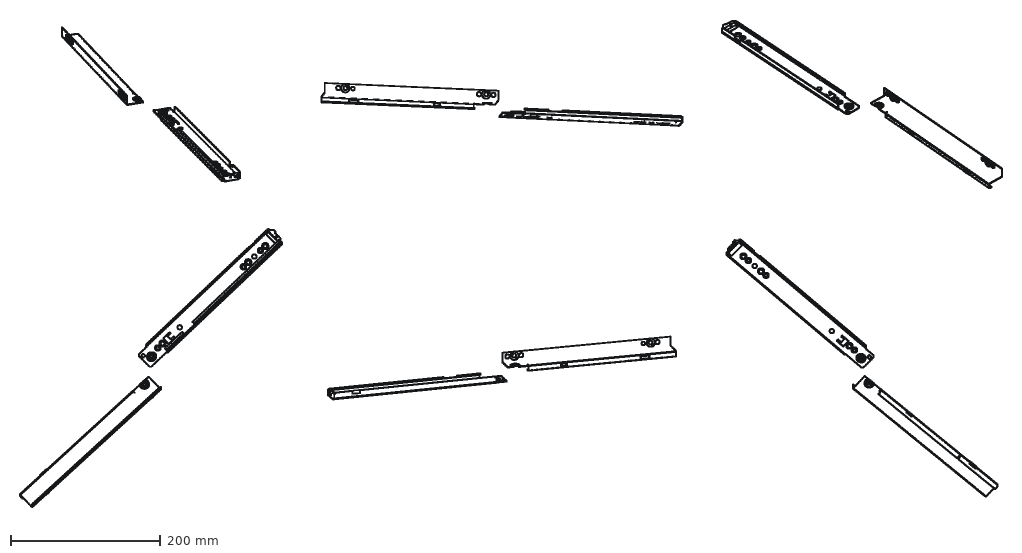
import cadquery as cq

SHEET = 1.25
PITCH = 32.0
OVER = 5.0

RAIL_LENGTH = 237.0
RAIL_TURN = -1.0
PLATE_TOP = 23.5
FLANGE_BOTTOM = 9.5
FLANGE_TOP = FLANGE_BOTTOM + SHEET
PLATE_BEND = 2.0
HOOK_LENGTH = 208.0
HOOK_Y = 25.0
HOOK_BOTTOM = 1.5
SHOULDER_START = 21.0
SHOULDER_DROP = 0.75
HOOK_CORNER = 1.0
HOOK_LOW_BEND = 3.5
HOOK_LIP_Y = 19.5
SHOULDER_END = 221.5
END_TAB_Y = 24.5

PLATE_HOLE_Z = 17.5
PLATE_HOLE_GROUPS = [(28.0, 38.5, 5.0), (220.0, 230.0, 6.0)]
DIMPLE_HEIGHT = 1.0
DIMPLE_BASE = 11.5
DIMPLE_HOLE = 5.5
LARGE_PLATE_HOLE = 6.0
LARGE_HOLE_OFFSET = -9.5

DENT_DEPTH = 1.0
DENT_Z = 6.0
DENT_HEIGHT = 3.5
DENT_INSET = 1.25
OUTWARD_DENT = (37.5, 51.0)
INWARD_DENT = (153.0, 162.0)
LIP_SLIT = (66.0, 68.0)

CHANNEL_START = 249.5
CHANNEL_END = 495.0
CHANNEL_NEAR = 32.5
CHANNEL_FAR = 59.5
CHANNEL_TOP = 10.0
FLOOR_NEAR = 39.5
FLOOR_FAR = 54.5
FLOOR_RISE = 1.0
LIP_SLOPE_Z = 6.5
LIP_TOP = 9.0
LIP_FLAT_Y = 35.0
LIP_EDGE_Y = 38.5
NEAR_WALL_START = 280.5
FAR_WALL_START = 265.5
TONGUE_TOP = 2.5
TONGUE_NEAR = 34.0
TONGUE_FAR = 58.0
TONGUE_CHAMFER = 1.5
WALL_CHAMFER = 2.0
LIP_GAP = (312.5, 332.0)
WALL_GAP = (458.5, 469.0)
WALL_GAP_FLOOR = 6.0

HOLE_Y = 46.5
PLAIN_HOLE = 6.0
PLAIN_HOLES = [316.0, 456.0]
WIDE_SINK = (5.0, 9.0)
NARROW_SINK = (4.0, 8.0)
FIRST_END_HOLE = 444.5
WIDE_HOLES = [PLAIN_HOLES[0] - PITCH, FIRST_END_HOLE, FIRST_END_HOLE + PITCH]
NARROW_OFFSET = -9.0

TONGUE_WINDOW = (252.0, 256.0)
TONGUE_WINDOW_Y = (50.5, 54.5)
CATCH_WINDOW = (290.0, 301.5)
CATCH_WINDOW_Y = (40.5, 51.0)
CATCH_TIP = 296.0
CATCH_Y = (43.0, 49.0)
CATCH_RISE = 1.0

SEAT_HEIGHT = 1.0
SEAT_BASE = 13.0
SEAT_TOP = 9.5
SEAT_HOLE = 3.5
RAIL_SEAT = (225.5, 20.5)
CHANNEL_SEAT = (261.0, 43.5)

STOP_NEAR = 36.0
STOP_FAR = 57.0
STOP_FOOT = 488.5
STOP_SHOULDER = 492.5
STOP_BACK = 497.5
STOP_TIP = 498.8
STOP_FOOT_FRONT = 2.0
STOP_FOOT_TOP = 3.0
STOP_TOP = 8.5
STOP_BEVEL = 1.5
NOSE_BOTTOM = 5.5
STOP_CORNER = 4.0
NOSE_Y = (49.5, 54.0)
STOP_SLOT_Y = (43.5, 45.0)
STOP_SLOT_FLOOR = 5.0


def block(xs, ys, zs):
    """Box between pairs of limits."""
    size = (xs[1] - xs[0], ys[1] - ys[0], zs[1] - zs[0])
    return cq.Workplane("XY").box(*size, centered=False).translate((xs[0], ys[0], zs[0]))


def frustum(base, top, height):
    """Cone stump standing on the origin along +Z."""
    return cq.Workplane("XY").circle(base / 2).workplane(offset=height).circle(top / 2).loft()


def add_seat(body, place, bottom):
    """Raise a round hollow seat on a sheet whose underside is at the given height."""
    x, y = place
    outside = frustum(SEAT_BASE, SEAT_TOP, SEAT_HEIGHT).translate((x, y, bottom + SHEET))
    inside = frustum(SEAT_BASE - SHEET, SEAT_TOP - SHEET, SEAT_HEIGHT)
    inside = inside.translate((x, y, bottom))
    hole = cq.Workplane("XY").center(x, y).circle(SEAT_HOLE / 2).extrude(CHANNEL_TOP + OVER)
    return body.union(outside).cut(inside).cut(hole)


def rail_section():
    """Plate and flange, with the hook on its shorter length."""
    inner_bend = PLATE_BEND - SHEET
    hook_inside = HOOK_Y - SHEET
    shoulder_bottom = FLANGE_BOTTOM - SHOULDER_DROP
    shoulder_top = FLANGE_TOP - SHOULDER_DROP
    low_bend_z = HOOK_BOTTOM + HOOK_LOW_BEND
    low_bend_y = HOOK_Y - HOOK_LOW_BEND
    lip_top = HOOK_BOTTOM + SHEET
    angle = (
        cq.Workplane("YZ")
        .moveTo(0, PLATE_TOP)
        .lineTo(0, FLANGE_BOTTOM + PLATE_BEND)
        .tangentArcPoint((PLATE_BEND, FLANGE_BOTTOM), relative=False)
        .lineTo(SHOULDER_START, FLANGE_BOTTOM)
        .lineTo(SHOULDER_START, FLANGE_TOP)
        .lineTo(PLATE_BEND, FLANGE_TOP)
        .tangentArcPoint((SHEET, FLANGE_TOP + inner_bend), relative=False)
        .lineTo(SHEET, PLATE_TOP)
        .close()
        .extrude(RAIL_LENGTH)
    )
    hook = (
        cq.Workplane("YZ")
        .moveTo(SHOULDER_START - SHEET, FLANGE_BOTTOM)
        .lineTo(SHOULDER_START, FLANGE_BOTTOM)
        .lineTo(hook_inside, shoulder_bottom)
        .lineTo(hook_inside, low_bend_z)
        .tangentArcPoint((low_bend_y, lip_top), relative=False)
        .lineTo(HOOK_LIP_Y, lip_top)
        .lineTo(HOOK_LIP_Y, HOOK_BOTTOM)
        .lineTo(low_bend_y, HOOK_BOTTOM)
        .tangentArcPoint((HOOK_Y, low_bend_z), relative=False)
        .lineTo(HOOK_Y, shoulder_top - HOOK_CORNER)
        .lineTo(HOOK_Y - HOOK_CORNER, shoulder_top)
        .lineTo(SHOULDER_START, FLANGE_TOP)
        .lineTo(SHOULDER_START - SHEET, FLANGE_TOP)
        .close()
        .extrude(HOOK_LENGTH)
    )
    slope_end = (
        cq.Workplane("YZ", origin=(HOOK_LENGTH, 0, 0))
        .moveTo(SHOULDER_START, FLANGE_BOTTOM)
        .lineTo(SHOULDER_START, FLANGE_TOP)
        .lineTo(HOOK_Y, shoulder_top)
        .lineTo(HOOK_Y, shoulder_bottom)
        .close()
        .extrude(SHOULDER_END - HOOK_LENGTH)
    )
    end_tab = block(
        (SHOULDER_END, RAIL_LENGTH), (SHOULDER_START, END_TAB_Y), (FLANGE_BOTTOM, FLANGE_TOP)
    )
    return angle.union(hook).union(slope_end).union(end_tab)


def plate_hole(x, diameter):
    """Cutter through the upright plate."""
    return (
        cq.Workplane("XZ", origin=(x, OVER, PLATE_HOLE_Z))
        .circle(diameter / 2)
        .extrude(2 * OVER)
    )


def plate_holes(body):
    """Three mounting holes near each end, the middle one in a dimple."""
    for x, plain_x, plain_diameter in PLATE_HOLE_GROUPS:
        dimple = frustum(DIMPLE_BASE, DIMPLE_HOLE, DIMPLE_HEIGHT)
        dimple = dimple.rotate((0, 0, 0), (1, 0, 0), 90)
        body = body.union(dimple.translate((x, 0, PLATE_HOLE_Z)))
        body = body.cut(dimple.translate((x, SHEET, PLATE_HOLE_Z)))
        body = body.cut(plate_hole(x, DIMPLE_HOLE))
        body = body.cut(plate_hole(x + LARGE_HOLE_OFFSET, LARGE_PLATE_HOLE))
        body = body.cut(plate_hole(plain_x, plain_diameter))
    return body


def shortened(span):
    """Limits of a dent's hollow side."""
    return (span[0] + DENT_INSET, span[1] - DENT_INSET)


def hook_dents(body):
    """Outward and inward dents in the hook wall and a slit in its lip."""
    dent_z = (DENT_Z - DENT_HEIGHT / 2, DENT_Z + DENT_HEIGHT / 2)
    inside = HOOK_Y - SHEET
    margin = SHEET / 2

    bump = block(OUTWARD_DENT, (HOOK_Y - margin, HOOK_Y + DENT_DEPTH), dent_z)
    bump = bump.faces(">Y").edges("|Z").chamfer(DENT_DEPTH)
    hollow = block(shortened(OUTWARD_DENT), (inside - margin, inside + DENT_DEPTH), dent_z)
    body = body.union(bump).cut(hollow)

    backing = block(INWARD_DENT, (inside - DENT_DEPTH, inside + margin), dent_z)
    recess = block(shortened(INWARD_DENT), (HOOK_Y - DENT_DEPTH, HOOK_Y + margin), dent_z)
    body = body.union(backing).cut(recess)

    slit = block(LIP_SLIT, (HOOK_LIP_Y - OVER, HOOK_Y + OVER), (0, HOOK_BOTTOM + SHEET))
    return body.cut(slit)


def drawer_rail():
    """Finished drawer rail, turned and set against the X and Y origin."""
    rail = hook_dents(plate_holes(rail_section()))
    rail = add_seat(rail, RAIL_SEAT, FLANGE_BOTTOM)
    past_edge = (END_TAB_Y, HOOK_Y + OVER)
    rail = rail.cut(block((HOOK_LENGTH, RAIL_LENGTH), past_edge, (0, PLATE_TOP)))
    rail = rail.rotate((0, 0, 0), (0, 0, 1), RAIL_TURN)
    box = rail.val().BoundingBox()
    return rail.translate((-box.xmin, -box.ymin, 0))


def channel_section():
    """Channel with a plain far wall and a folded near wall."""
    far_inside = CHANNEL_FAR - SHEET
    near_inside = CHANNEL_NEAR + SHEET
    return (
        cq.Workplane("YZ", origin=(CHANNEL_START, 0, 0))
        .moveTo(CHANNEL_FAR, CHANNEL_TOP)
        .lineTo(CHANNEL_FAR, FLOOR_RISE)
        .lineTo(FLOOR_FAR, 0)
        .lineTo(FLOOR_NEAR, 0)
        .lineTo(CHANNEL_NEAR, FLOOR_RISE)
        .lineTo(CHANNEL_NEAR, LIP_SLOPE_Z)
        .lineTo(LIP_FLAT_Y, LIP_TOP)
        .lineTo(LIP_EDGE_Y, LIP_TOP)
        .lineTo(LIP_EDGE_Y, LIP_TOP - SHEET)
        .lineTo(LIP_FLAT_Y + SHEET / 2, LIP_TOP - SHEET)
        .lineTo(near_inside, LIP_SLOPE_Z - SHEET / 2)
        .lineTo(near_inside, FLOOR_RISE + SHEET)
        .lineTo(FLOOR_NEAR, SHEET)
        .lineTo(FLOOR_FAR, SHEET)
        .lineTo(far_inside, FLOOR_RISE + SHEET)
        .lineTo(far_inside, CHANNEL_TOP)
        .close()
        .extrude(CHANNEL_END - CHANNEL_START)
    )


def trim_channel(body):
    """Shorten the walls to leave a low tongue, and cut the wall gaps and end chamfers."""
    above = CHANNEL_TOP + OVER
    start = CHANNEL_START - OVER
    near = CHANNEL_NEAR - OVER
    far = CHANNEL_FAR + OVER
    body = body.cut(block((start, NEAR_WALL_START), (near, HOLE_Y), (TONGUE_TOP, above)))
    body = body.cut(block((start, NEAR_WALL_START), (near, TONGUE_NEAR), (-OVER, above)))
    body = body.cut(block((start, FAR_WALL_START), (HOLE_Y, far), (TONGUE_TOP, above)))
    body = body.cut(block((start, FAR_WALL_START), (TONGUE_FAR, far), (-OVER, above)))

    for y, inward in ((TONGUE_NEAR, TONGUE_CHAMFER), (TONGUE_FAR, -TONGUE_CHAMFER)):
        corner = (
            cq.Workplane("XY", origin=(CHANNEL_START, y, 0))
            .polyline([(0, 0), (TONGUE_CHAMFER, 0), (0, inward)])
            .close()
            .extrude(above)
        )
        body = body.cut(corner)

    body = body.cut(block(LIP_GAP, (near, LIP_EDGE_Y + OVER), (LIP_SLOPE_Z, above)))
    body = body.cut(block(WALL_GAP, (HOLE_Y, far), (WALL_GAP_FLOOR, above)))

    for x, run in ((FAR_WALL_START, WALL_CHAMFER), (CHANNEL_END, STOP_SHOULDER - CHANNEL_END)):
        corner = (
            cq.Workplane("XZ", origin=(0, far, 0))
            .polyline(
                [(x, CHANNEL_TOP), (x + run, CHANNEL_TOP), (x, CHANNEL_TOP - WALL_CHAMFER)]
            )
            .close()
            .extrude(far - near)
        )
        body = body.cut(corner)
    return body


def sunk_hole(x, diameters):
    """Cutter for a hole that widens to its countersink at the floor's upper face."""
    small, large = diameters
    return frustum(small, large, SHEET).translate((x, HOLE_Y, 0))


def channel_holes(body):
    """Plain and countersunk holes along the floor."""
    for x in PLAIN_HOLES:
        body = body.cut(cq.Workplane("XY").center(x, HOLE_Y).circle(PLAIN_HOLE / 2).extrude(SHEET))
    for x in WIDE_HOLES:
        body = body.cut(sunk_hole(x, WIDE_SINK))
        body = body.cut(sunk_hole(x + NARROW_OFFSET, NARROW_SINK))
    return body


def channel_catch(body):
    """Windows in the floor, the larger one with a rising spring tongue."""
    floor = (-OVER, SHEET + OVER / 2)
    body = body.cut(block(TONGUE_WINDOW, TONGUE_WINDOW_Y, floor))
    body = body.cut(block(CATCH_WINDOW, CATCH_WINDOW_Y, floor))
    root = CATCH_WINDOW[1]
    catch = (
        cq.Workplane("XZ", origin=(0, CATCH_Y[1], 0))
        .moveTo(root, 0)
        .lineTo(root, SHEET)
        .lineTo(CATCH_TIP, SHEET + CATCH_RISE)
        .lineTo(CATCH_TIP, CATCH_RISE)
        .close()
        .extrude(CATCH_Y[1] - CATCH_Y[0])
    )
    return body.union(catch)


def cabinet_rail():
    """Finished channel rail."""
    rail = channel_catch(channel_holes(trim_channel(channel_section())))
    return add_seat(rail, CHANNEL_SEAT, 0)


def end_stop():
    """Stop standing on the channel floor, with a sloping foot and a nose at the back."""
    stop = (
        cq.Workplane("XZ", origin=(0, STOP_FAR, 0))
        .moveTo(STOP_FOOT, SHEET)
        .lineTo(STOP_FOOT, STOP_FOOT_FRONT)
        .lineTo(STOP_SHOULDER, STOP_FOOT_TOP)
        .lineTo(STOP_SHOULDER, STOP_TOP)
        .lineTo(STOP_BACK, STOP_TOP)
        .lineTo(STOP_BACK, STOP_BEVEL)
        .lineTo(STOP_BACK - STOP_BEVEL, 0)
        .lineTo(CHANNEL_END, 0)
        .lineTo(CHANNEL_END, SHEET)
        .close()
        .extrude(STOP_FAR - STOP_NEAR)
    )
    rounded = block((STOP_FOOT, STOP_BACK), (STOP_NEAR, STOP_FAR), (0, STOP_TOP))
    rounded = rounded.edges(">X and |Z").fillet(STOP_CORNER)
    slot = block((STOP_SHOULDER, STOP_TIP), STOP_SLOT_Y, (STOP_SLOT_FLOOR, STOP_TOP))
    nose = block((STOP_SHOULDER, STOP_TIP), NOSE_Y, (NOSE_BOTTOM, STOP_TOP))
    return stop.intersect(rounded).cut(slot).union(nose)


rail_body = drawer_rail()
channel_body = cabinet_rail()
stop_body = end_stop().cut(channel_body)

result = cq.Compound.makeCompound([rail_body.val(), channel_body.val(), stop_body.val()])